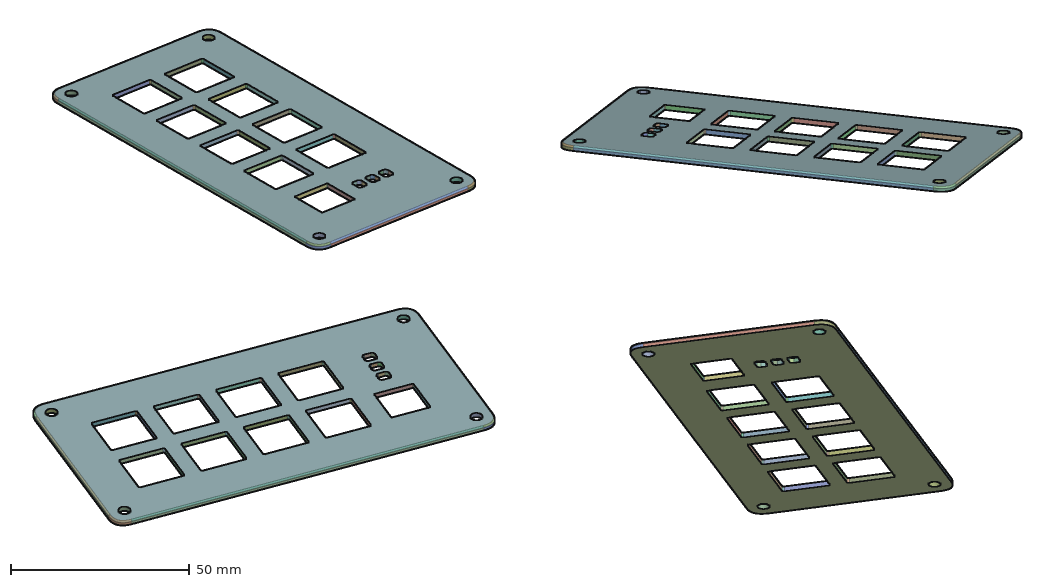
import cadquery as cq
length = 118.0
width = 60.2
thickness = 1.5
corner_reach = 5.0
top_edge_radius = 0.5

screw_hole_diameter = 3.4
screw_spacing_x = length - 2 * corner_reach
screw_spacing_y = width - 2 * corner_reach

key_size = 14.0
key_corner_radius = 0.5
key_columns = 4
key_rows = 2
key_pitch = 19.1
key_grid_center = (-10.3, -0.5)

side_column_x = 38.1
square_size = 12.0
square_y = -9.8
square_corner_radius = 0.2
window_length = 3.8
window_height = 3.2
window_corner_radius = 1.0
window_pitch = 4.8
window_count = 3
middle_window_y = 7.8


def plate_outline():
    """Rectangle whose corners are parabolic curves tangent to both sides."""
    outline = cq.Workplane("XY").moveTo(corner_reach - length / 2, -width / 2)
    for side_x, side_y in [(1, -1), (1, 1), (-1, 1), (-1, -1)]:
        corner_x = side_x * length / 2
        corner_y = side_y * width / 2
        on_long_side = (corner_x - side_x * corner_reach, corner_y)
        on_short_side = (corner_x, corner_y - side_y * corner_reach)
        if side_x != side_y:
            start, end = on_long_side, on_short_side
        else:
            start, end = on_short_side, on_long_side
        outline = outline.lineTo(*start).bezier([start, (corner_x, corner_y), end])
    return outline.close()


def plate():
    """Flat plate with a rounded top edge."""
    return plate_outline().extrude(thickness).faces(">Z").edges().fillet(top_edge_radius)


def rounded_openings(positions, size_x, size_y, radius):
    """Through cutters with rounded corners at the given centers."""
    cutters = cq.Workplane("XY").pushPoints(positions).rect(size_x, size_y).extrude(thickness)
    return cutters.edges("|Z").fillet(radius)


def screw_holes():
    """Through cutters at the four corners."""
    corners = cq.Workplane("XY").rect(screw_spacing_x, screw_spacing_y, forConstruction=True).vertices()
    return corners.circle(screw_hole_diameter / 2).extrude(thickness)


def grid_positions(center, columns, rows, pitch):
    """Centers of a regular grid placed around its own center."""
    center_x, center_y = center
    return [
        (center_x + (column - (columns - 1) / 2) * pitch, center_y + (row - (rows - 1) / 2) * pitch)
        for column in range(columns)
        for row in range(rows)
    ]


key_positions = grid_positions(key_grid_center, key_columns, key_rows, key_pitch)
window_positions = grid_positions((side_column_x, middle_window_y), 1, window_count, window_pitch)
square_positions = [(side_column_x, square_y)]

result = (
    plate()
    .cut(screw_holes())
    .cut(rounded_openings(key_positions, key_size, key_size, key_corner_radius))
    .cut(rounded_openings(window_positions, window_length, window_height, window_corner_radius))
    .cut(rounded_openings(square_positions, square_size, square_size, square_corner_radius))
)